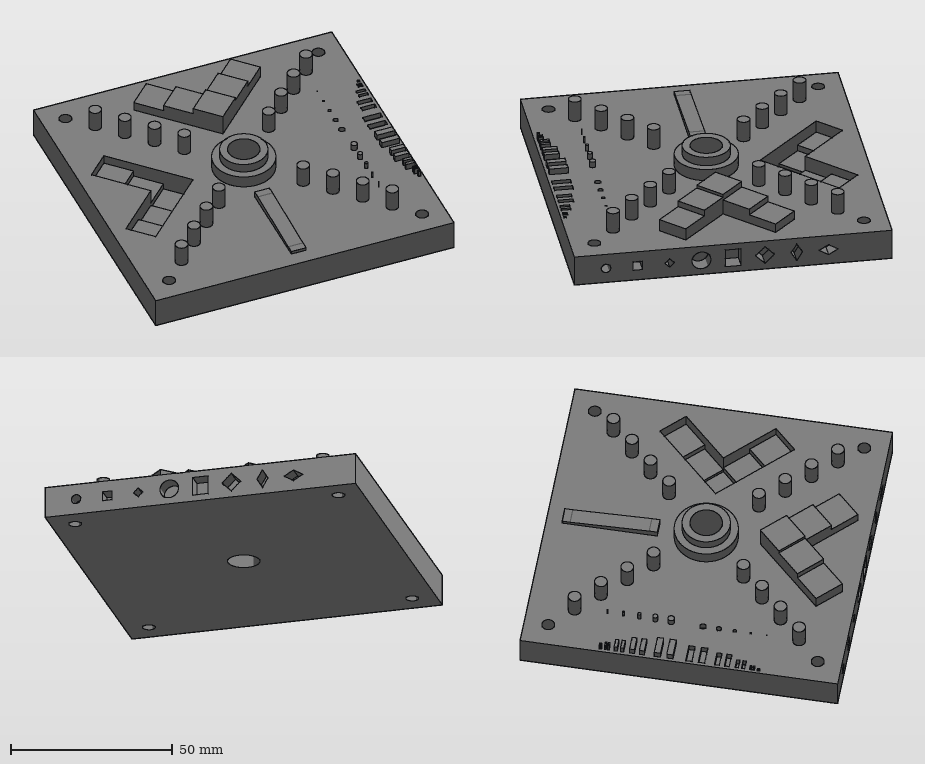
import cadquery as cq
import math

diagonal = 141.4
plate_side = diagonal / math.sqrt(2)
plate_height = 10.0
total_height = 17.0
post_height = total_height - plate_height
edge_distance = plate_side / 2

corner_hole_distance = 60.0
post_spacing = corner_hole_distance / 6
post_diameter = 4.0
post_steps = [2, 3, 4, 5]

hub_diameter = 20.0
hub_height = 4.0
collar_diameter = 15.0
bore_diameter = 10.0

stair_offset = 12.0
stair_length = 30.0
tile = stair_length / 3
stair_drop = 1.0
outward_drops = [2, 4]
sideways_drops = [1, 3]

ramp_start = 15.0
ramp_length = 30.0
ramp_width = 5.0
ramp_level = 2.5
ramp_high = 2.0
ramp_low = 1.0

fine_height = 2.0
fine_row_distance = 35.0
fine_row_reach = 25.0
fine_diameters = [2.0, 1.5, 1.0, 0.5, 0.2]
fine_spacing = fine_row_reach / len(fine_diameters)

bar_edge_gap = 1.0
bar_length_ratio = 3
bar_pairs = [(2.0, 2.0), (1.5, 11.0), (1.0, 17.5), (0.5, 22.0), (0.25, 24.5)]

side_hole_depth = 5.0
side_hole_spacing = plate_side / 10
small_size = 3.0
large_size = 6.0
rectangle_width = 5.0
slim_size = 3.5


def block(x_size, y_size, height, x, y, z):
    """Upright block centred on (x, y) with its underside at z."""
    return cq.Workplane("XY").box(x_size, y_size, height, centered=(True, True, False)).translate((x, y, z))


def cylinders(points, diameter, height, z):
    """Upright cylinders at the given points with their undersides at z."""
    return cq.Workplane("XY").workplane(offset=z).pushPoints(points).circle(diameter / 2).extrude(height)


def on_diagonals(distance):
    return [(distance, 0), (0, distance), (-distance, 0), (0, -distance)]


def turn(shape):
    """Turn a shape laid out square to the plate sides onto the corner-standing plate."""
    return shape.rotate((0, 0, 0), (0, 0, 1), -45)


def stair_tiles():
    """Centre and number of drops for each tile of the L in the -X, +Y quarter."""
    near = stair_offset + tile / 2
    tiles = [(-near, near, 0)]
    for step, drops in enumerate(outward_drops, start=1):
        tiles.append((-near - step * tile, near, drops))
    for step, drops in enumerate(sideways_drops, start=1):
        tiles.append((-near, near + step * tile, drops))
    return tiles


def fine_round(side, start_z):
    """Fine cylinders on one side (1 or -1) of the middle of the row."""
    shape = cq.Workplane("XY")
    for number, diameter in enumerate(fine_diameters, start=1):
        point = (side * number * fine_spacing, fine_row_distance)
        shape = shape.add(cylinders([point], diameter, fine_height, start_z))
    return turn(shape)


def fine_bars(side, start_z):
    """Fine bars on one side (1 or -1) of the middle of the edge."""
    shape = cq.Workplane("XY")
    for width, start in bar_pairs:
        length = bar_length_ratio * width
        y = edge_distance - bar_edge_gap - length / 2
        first_x = start + width / 2
        for x in (first_x, first_x + 2 * width):
            shape = shape.add(block(width, length, fine_height, side * x, y, start_z))
    return turn(shape)


def ramp():
    end = ramp_start + ramp_length
    profile = (
        cq.Workplane("XZ", origin=(0, ramp_width / 2, plate_height))
        .moveTo(ramp_start, 0)
        .lineTo(ramp_start, ramp_high)
        .lineTo(ramp_start + ramp_level, ramp_high)
        .lineTo(end - ramp_level, ramp_low)
        .lineTo(end, ramp_low)
        .lineTo(end, 0)
        .close()
    )
    return turn(profile.extrude(ramp_width))


def side_holes():
    """Blind holes in the -X, +Y side face, numbered from its +Y end."""

    def place(step):
        y = edge_distance - step * side_hole_spacing
        return cq.Workplane("YZ", origin=(-edge_distance, y, plate_height / 2))

    def diamond(step, width, height):
        points = [(width / 2, 0), (0, height / 2), (-width / 2, 0), (0, -height / 2)]
        return place(step).polyline(points).close()

    outlines = [
        place(1).circle(small_size / 2),
        place(2).rect(small_size, small_size),
        diamond(3, small_size, small_size),
        place(4).circle(large_size / 2),
        place(5).rect(rectangle_width, large_size),
        diamond(6, large_size, large_size),
        diamond(7, slim_size, large_size),
        diamond(8, large_size, slim_size),
    ]
    shape = cq.Workplane("XY")
    for outline in outlines:
        shape = shape.add(outline.extrude(side_hole_depth))
    return turn(shape)


def join(body, shapes):
    for shape in shapes.vals():
        body = body.union(cq.Workplane(shape))
    return body


def remove(body, shapes):
    for shape in shapes.vals():
        body = body.cut(cq.Workplane(shape))
    return body


part = turn(block(plate_side, plate_side, plate_height, 0, 0, 0))

part = part.union(cylinders([(0, 0)], hub_diameter, hub_height, plate_height))
part = part.union(cylinders([(0, 0)], collar_diameter, post_height, plate_height))
part = part.cut(cylinders([(0, 0)], bore_diameter, total_height, 0))

for step in post_steps:
    part = part.union(cylinders(on_diagonals(step * post_spacing), post_diameter, post_height, plate_height))
part = part.cut(cylinders(on_diagonals(corner_hole_distance), post_diameter, plate_height, 0))

for x, y, drops in stair_tiles():
    size = post_height - drops * stair_drop
    part = part.union(block(tile, tile, size, x, y, plate_height))
    part = part.cut(block(tile, tile, size, x, -y, plate_height - size))

part = part.union(ramp())
part = join(part, fine_round(1, plate_height))
part = remove(part, fine_round(-1, plate_height - fine_height))
part = join(part, fine_bars(1, plate_height))
part = remove(part, fine_bars(-1, plate_height - fine_height))
part = remove(part, side_holes())

result = part